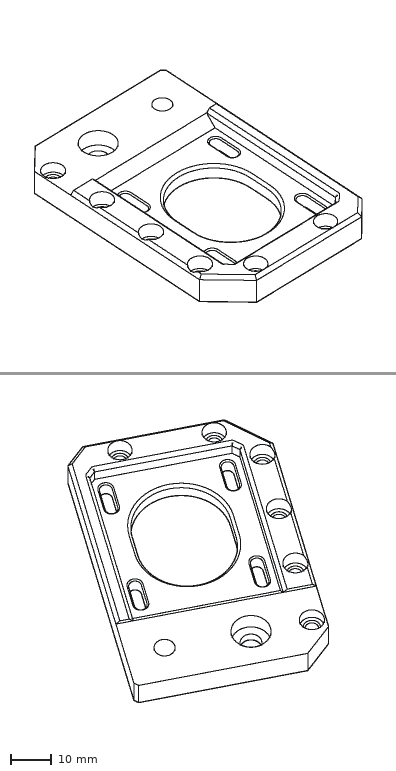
import cadquery as cq

length = 76.0
width = 51.05
height = 8.0
edge_chamfer = 1.0

front_left_cut = 7.0
front_right_cut = 10.0
back_right_cut = 5.0
back_left_cut = 1.0

shelf_length = 20.0
shelf_height = height - edge_chamfer

motor_x = 45.5
motor_y = width - 23.5
pocket_floor = 4.0
pocket_reach = 22.1
pocket_end_x = motor_x + pocket_reach
pocket_half_width = 19.1
pocket_corner_cut = 1.6
rim_angle = 45.0

adjust_travel = 6.0
opening_diameter = 25.0
opening_chamfer = 0.8
slot_pitch = 31.0
slot_width = 3.2
slot_chamfer = 0.4

screw_diameter = 3.4
screw_chamfer = 0.45
screw_seat = 4.0
front_bore_diameter = 6.2
right_bore_diameter = 6.0
front_screw_y = width - 47.5
front_screw_pitch = 17.5
front_screw_count = 4
right_screw_inset = 4.0
right_screw_x = length - right_screw_inset
right_screw_ys = (width - 37.5, width - 13.5)

shelf_hole_x = shelf_length / 2
plain_hole_y = width - 10.0
plain_hole_diameter = 5.2
bored_hole_y = width - 32.0
bored_hole_diameter = 5.4
bored_hole_bore = 9.9
bored_hole_seat = 2.4


def make_plate():
    outline = [
        (front_left_cut, 0),
        (length - front_right_cut, 0),
        (length, front_right_cut),
        (length, width - back_right_cut),
        (length - back_right_cut, width),
        (back_left_cut, width),
        (0, width - back_left_cut),
        (0, front_left_cut),
    ]
    block = cq.Workplane("XY").polyline(outline).close().extrude(height)
    block = block.faces(">Z").chamfer(edge_chamfer)
    above_shelf = cq.Workplane("XY").box(
        shelf_length, width, height - shelf_height, centered=False
    )
    return block.cut(above_shelf.translate((0, 0, shelf_height)))


def make_pocket():
    """Pocket with cut corners, a chamfered rim and a ramp up to the shelf."""
    y_low = motor_y - pocket_half_width
    y_high = motor_y + pocket_half_width
    outline = [
        (0, y_low),
        (pocket_end_x - pocket_corner_cut, y_low),
        (pocket_end_x, y_low + pocket_corner_cut),
        (pocket_end_x, y_high - pocket_corner_cut),
        (pocket_end_x - pocket_corner_cut, y_high),
        (0, y_high),
    ]
    walls = (
        cq.Workplane("XY")
        .workplane(offset=pocket_floor)
        .polyline(outline)
        .close()
        .extrude(height - pocket_floor)
    )
    rim = (
        cq.Workplane("XY")
        .workplane(offset=height - edge_chamfer)
        .polyline(outline)
        .close()
        .extrude(edge_chamfer, taper=-rim_angle)
    )
    ramp_run = shelf_height - pocket_floor
    side = [
        (shelf_length, height),
        (shelf_length, shelf_height),
        (shelf_length + ramp_run, pocket_floor),
        (length, pocket_floor),
        (length, height),
    ]
    envelope = cq.Workplane("XZ").polyline(side).close().extrude(-width)
    return walls.union(rim).intersect(envelope)


def oblong_cutter(x, y, diameter, chamfer):
    """Through slot along X with a chamfer at the pocket floor."""
    slot_length = adjust_travel + diameter
    through = cq.Workplane("XY").center(x, y).slot2D(slot_length, diameter).extrude(pocket_floor)
    mouth = (
        cq.Workplane("XY")
        .workplane(offset=pocket_floor)
        .center(x, y)
        .slot2D(slot_length + 2 * chamfer, diameter + 2 * chamfer)
        .workplane(offset=-chamfer)
        .slot2D(slot_length, diameter)
        .loft(ruled=True)
    )
    return through.union(mouth)


def bored_hole_cutter(x, y, diameter, bore, seat, chamfer=0.0):
    """Turned cutter: hole, optional chamfer at the seat, counterbore above."""
    radius = diameter / 2
    profile = [(0, 0), (radius, 0), (radius, seat - chamfer)]
    if chamfer:
        profile.append((radius + chamfer, seat))
    profile += [(bore / 2, seat), (bore / 2, height), (0, height)]
    cutter = cq.Workplane("XZ").polyline(profile).close().revolve(360, (0, 0), (0, 1))
    return cutter.translate((x, y, 0))


def screw_cutter(x, y, bore):
    return bored_hole_cutter(x, y, screw_diameter, bore, screw_seat, screw_chamfer)


result = make_plate().cut(make_pocket())

result = result.cut(oblong_cutter(motor_x, motor_y, opening_diameter, opening_chamfer))
for x_side in (-1, 1):
    for y_side in (-1, 1):
        slot_x = motor_x + x_side * slot_pitch / 2
        slot_y = motor_y + y_side * slot_pitch / 2
        result = result.cut(oblong_cutter(slot_x, slot_y, slot_width, slot_chamfer))

for index in range(front_screw_count):
    screw_x = shelf_hole_x + index * front_screw_pitch
    result = result.cut(screw_cutter(screw_x, front_screw_y, front_bore_diameter))
for screw_y in right_screw_ys:
    result = result.cut(screw_cutter(right_screw_x, screw_y, right_bore_diameter))

plain_hole = cq.Workplane("XY").circle(plain_hole_diameter / 2).extrude(height)
result = result.cut(plain_hole.translate((shelf_hole_x, plain_hole_y, 0)))
result = result.cut(
    bored_hole_cutter(
        shelf_hole_x, bored_hole_y, bored_hole_diameter, bored_hole_bore, bored_hole_seat
    )
)